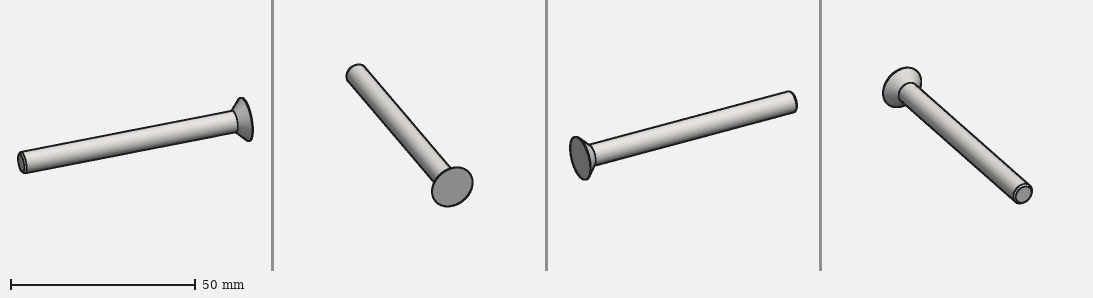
import cadquery as cq

total_length = 65.0
shank_radius = 6.0 / 2
head_radius = 12.0 / 2
head_rim_height = 0.25
tip_chamfer = 0.5

cone_height = head_radius - shank_radius
cone_end = total_length - head_rim_height
cone_start = cone_end - cone_height

half_section = (
    cq.Workplane("XY")
    .moveTo(0, 0)
    .lineTo(shank_radius - tip_chamfer, 0)
    .lineTo(shank_radius, tip_chamfer)
    .lineTo(shank_radius, cone_start)
    .lineTo(head_radius, cone_end)
    .lineTo(head_radius, total_length)
    .lineTo(0, total_length)
    .close()
)

result = half_section.revolve(360, (0, 0, 0), (0, 1, 0))